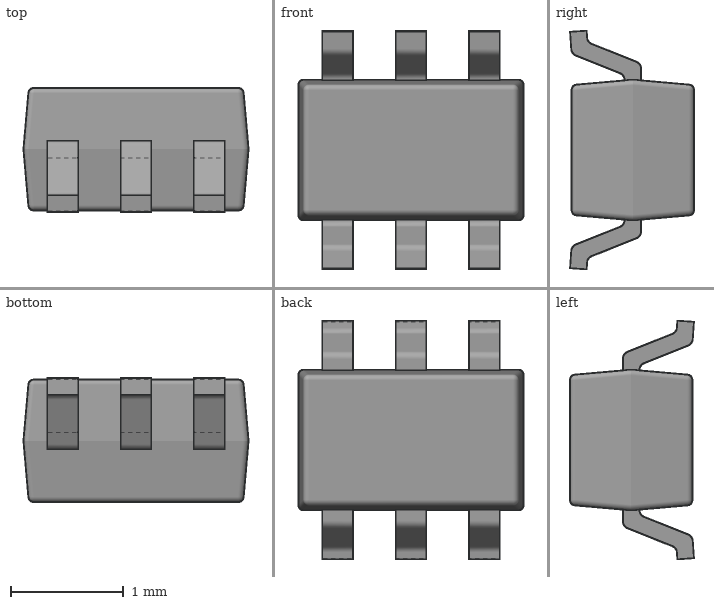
import cadquery as cq
import math

body_length = 2.0
body_thickness = 1.088
body_width = 1.25
draft_angle = 5.0
body_fillet = 0.05

leads_per_side = 3
lead_pitch = 0.65
lead_width = 0.275
lead_thickness = 0.15
lead_span = 2.12
foot_standoff = 0.014
slope_angle = 21.8
foot_angle = 4.0
slope_start_z = 0.716
lead_root_z = 0.5
shoulder_outer_radius = 0.07
shoulder_inner_radius = 0.06
heel_outer_radius = 0.07
heel_inner_radius = 0.06


def make_body():
    """Two mirrored tapered halves joined at the parting plane, with rounded outer edges."""
    half = (
        cq.Workplane("XZ")
        .rect(body_length, body_width)
        .extrude(body_thickness / 2, taper=draft_angle)
    )
    parting_clearance = body_fillet
    outside = cq.selectors.BoxSelector(
        (-body_length, -parting_clearance, -body_width),
        (body_length, -body_thickness, body_width),
    )
    half = half.edges(outside).fillet(body_fillet)
    return half.union(half.mirror("XZ"))


def lead_corners():
    """Corner points (Y, Z) of the lead profile: the +Y face first, then the -Y face."""
    slope = math.radians(slope_angle)
    foot = math.radians(foot_angle)
    half = lead_thickness / 2

    outer_tip = (
        -body_thickness / 2 - foot_standoff,
        lead_span / 2 - lead_thickness * math.sin(foot),
    )
    inner_tip = (outer_tip[0] + lead_thickness * math.cos(foot), lead_span / 2)

    def heel(tip, slope_line_z):
        """Point where the foot face through tip meets a sloped face crossing Y = 0 at slope_line_z."""
        drop = (tip[1] - slope_line_z + tip[0] * math.tan(slope)) / (
            math.cos(foot) - math.sin(foot) * math.tan(slope)
        )
        return (tip[0] + drop * math.sin(foot), tip[1] - drop * math.cos(foot))

    slope_offset = half / math.cos(slope)
    upper_z = slope_start_z + slope_offset
    lower_z = slope_start_z - slope_offset

    shoulder_rise = half * math.tan(slope)
    upper_face = [
        (half, lead_root_z),
        (half, upper_z - shoulder_rise),
        heel(inner_tip, upper_z),
        inner_tip,
    ]
    lower_face = [
        (-half, lead_root_z),
        (-half, lower_z + shoulder_rise),
        heel(outer_tip, lower_z),
        outer_tip,
    ]
    return upper_face, lower_face


def make_lead():
    """One upper lead, centred on X = 0, with rounded bends."""
    upper_face, lower_face = lead_corners()
    lead = (
        cq.Workplane("YZ")
        .polyline(upper_face + lower_face[::-1])
        .close()
        .extrude(lead_width / 2, both=True)
    )
    bends = [
        (upper_face[1], shoulder_outer_radius),
        (lower_face[1], shoulder_inner_radius),
        (upper_face[2], heel_inner_radius),
        (lower_face[2], heel_outer_radius),
    ]
    for (y, z), radius in bends:
        bend_edge = cq.selectors.NearestToPointSelector((0, y, z))
        lead = lead.edges("|X").edges(bend_edge).fillet(radius)
    return lead


def add_leads(body):
    """Join a row of leads to the +Z side and its mirror image to the -Z side."""
    lead = make_lead()
    first_x = -lead_pitch * (leads_per_side - 1) / 2
    for index in range(leads_per_side):
        upper_lead = lead.translate((first_x + index * lead_pitch, 0, 0))
        body = body.union(upper_lead).union(upper_lead.mirror("XY"))
    return body


result = add_leads(make_body())